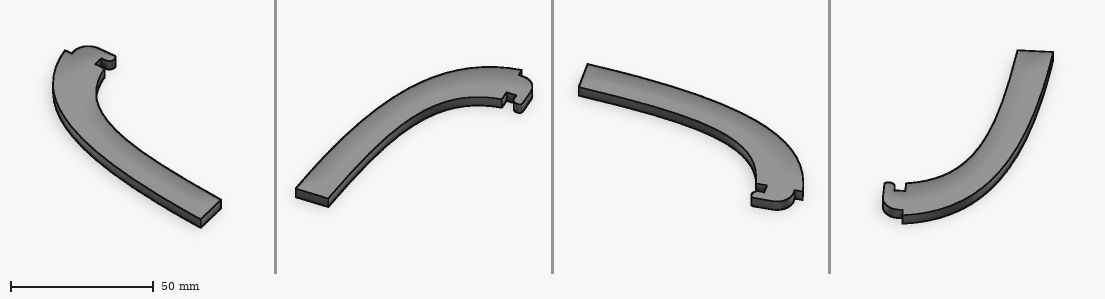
import cadquery as cq

LENGTH = 89.7
WIDTH = 53.6
THICKNESS = 4.0

SHOULDER_Y = 46.1
SHOULDER_WIDTH = 16.95
END_WIDTH = 12.55
OUTER_CONTROLS = [(4.3, 16.8), (34.7, 4.6)]
INNER_CONTROLS = [(46.3, 16.5), (20.8, 21.9)]

HOOK_LEFT = 2.9
HOOK_RIGHT = 16.95
NOTCH_X = 12.9
NOTCH_HEIGHT = 3.8
BACK_RADIUS = 6.1
TIP_TOP_RADIUS = 1.3
TIP_BOTTOM_RADIUS = 2.15


def make_arm():
    """Tapering arm bounded by two cubic Bezier edges."""
    outer_start = (0, SHOULDER_Y)
    outer_end = (LENGTH, 0)
    inner_start = (LENGTH, END_WIDTH)
    inner_end = (SHOULDER_WIDTH, SHOULDER_Y)
    return (
        cq.Workplane("XY")
        .moveTo(*outer_start)
        .bezier([outer_start, *OUTER_CONTROLS, outer_end])
        .lineTo(*inner_start)
        .bezier([inner_start, *INNER_CONTROLS, inner_end])
        .close()
        .extrude(THICKNESS)
    )


def make_hook():
    """Rounded hook whose tip overhangs an open notch."""
    tip_bottom = SHOULDER_Y + NOTCH_HEIGHT
    return (
        cq.Workplane("XY")
        .moveTo(HOOK_LEFT, SHOULDER_Y)
        .lineTo(HOOK_LEFT, WIDTH - BACK_RADIUS)
        .radiusArc((HOOK_LEFT + BACK_RADIUS, WIDTH), BACK_RADIUS)
        .lineTo(HOOK_RIGHT - TIP_TOP_RADIUS, WIDTH)
        .radiusArc((HOOK_RIGHT, WIDTH - TIP_TOP_RADIUS), TIP_TOP_RADIUS)
        .lineTo(HOOK_RIGHT, tip_bottom + TIP_BOTTOM_RADIUS)
        .radiusArc((HOOK_RIGHT - TIP_BOTTOM_RADIUS, tip_bottom), TIP_BOTTOM_RADIUS)
        .lineTo(NOTCH_X, tip_bottom)
        .lineTo(NOTCH_X, SHOULDER_Y)
        .close()
        .extrude(THICKNESS)
    )


result = make_arm().union(make_hook())